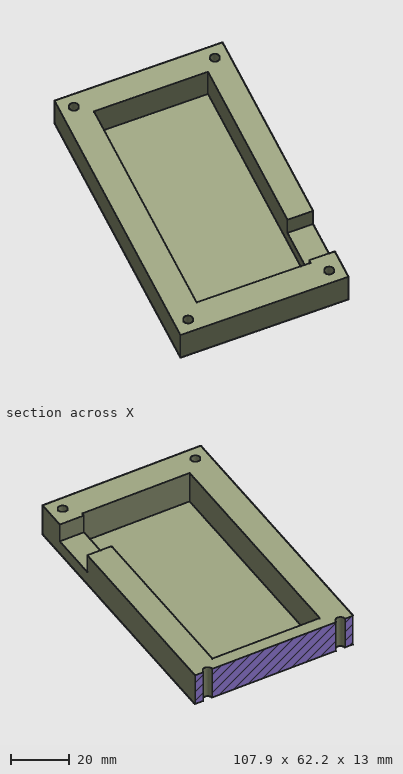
import cadquery as cq

length = 107.92
width = 62.2
height = 13.0

thin_wall = 9.5
thick_wall = 10.5
floor_thickness = 0.3
pocket_length = length - thin_wall - thick_wall
pocket_width = width - thin_wall - thick_wall
pocket_depth = height - floor_thickness

notch_length = 18.6
notch_depth = 7.5
notch_to_right_side = 11.7

hole_diameter = 3.4
hole_inset = 5.0


def box_from_top(x_min, y_min, x_size, y_size, depth):
    """Box with its top face flush with the top of the block."""
    return (
        cq.Workplane("XY")
        .box(x_size, y_size, depth, centered=False)
        .translate((x_min, y_min, height - depth))
    )


def make_pocket():
    return box_from_top(thin_wall, thick_wall, pocket_length, pocket_width, pocket_depth)


def make_notch():
    x_min = length - notch_to_right_side - notch_length
    return box_from_top(x_min, width - thin_wall, notch_length, thin_wall, notch_depth)


def make_screw_holes():
    centers = [
        (x, y)
        for x in (hole_inset, length - hole_inset)
        for y in (hole_inset, width - hole_inset)
    ]
    return cq.Workplane("XY").pushPoints(centers).circle(hole_diameter / 2).extrude(height)


block = cq.Workplane("XY").box(length, width, height, centered=False)
result = block.cut(make_pocket()).cut(make_notch()).cut(make_screw_holes())